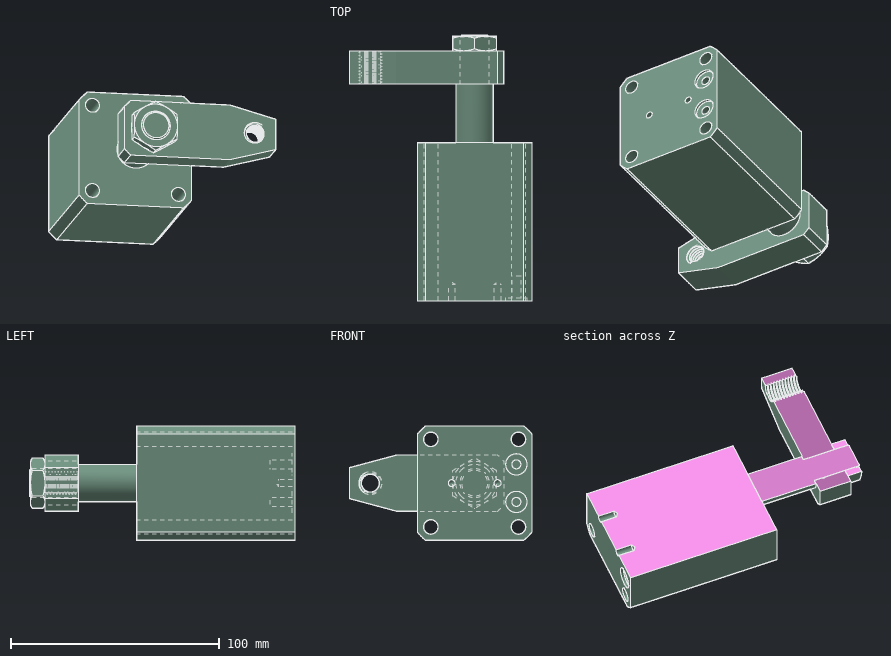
import cadquery as cq
import math


BLOCK_SIDE = 55.0
BLOCK_LENGTH = 76.0
BLOCK_CORNER_RADIUS = 36.2
MOUNT_HOLE_DIAMETER = 6.8
MOUNT_HOLE_OFFSET = 21.0
PORT_X = 20.0
PORT_Z = 9.0
PORT_RECESS_DIAMETER = 10.2
PORT_RECESS_DEPTH = 1.5
PORT_BORE_DIAMETER = 4.3
PORT_BORE_DEPTH = 12.0
PIN_HOLE_X = 11.0
PIN_HOLE_DIAMETER = 3.3
PIN_HOLE_DEPTH = 8.0
DRILL_POINT_ANGLE = 118.0

ROD_DIAMETER = 18.0
ROD_EXPOSED_LENGTH = 28.0
STUD_DIAMETER = 14.0
STUD_TIP_DIAMETER = 12.4
STUD_PROTRUSION = 0.5

ARM_WIDTH = 27.0
ARM_THICKNESS = 16.0
ARM_REACH = 60.0
ARM_HEEL = 14.0
ARM_HEEL_CHAMFER = 3.0
ARM_TAPER_LENGTH = 22.5
ARM_TAPER_ANGLE = 15.0
THREAD_TO_TIP = 10.0

THREAD_MINOR_RADIUS = 4.25
THREAD_MAJOR_RADIUS = 5.5
THREAD_PITCH = 1.5
THREAD_GROOVE_WIDTH = 0.9 * THREAD_PITCH
THREAD_START_ANGLE = 234.0
THREAD_OVERLAP = 0.1

NUT_ACROSS_FLATS = 21.0
NUT_HEIGHT = 7.0
NUT_CHAMFER_ANGLE = 30.0
NUT_SIDES = 6

ARM_START = BLOCK_LENGTH + ROD_EXPOSED_LENGTH
NUT_START = ARM_START + ARM_THICKNESS
NUT_END = NUT_START + NUT_HEIGHT
STUD_END = NUT_END + STUD_PROTRUSION


def section_plane(y):
    """Work plane across the rod axis; local x is X, local y is Z, extrusions run toward +Y."""
    return cq.Workplane(cq.Plane(origin=(0, y, 0), xDir=(1, 0, 0), normal=(0, -1, 0)))


def rod_axis_cylinder(diameter, y_start, length, x=0.0, z=0.0):
    return section_plane(y_start).center(x, z).circle(diameter / 2).extrude(-length)


def revolve_about_rod_axis(points):
    """Revolve a closed (radius, y) outline about the Y axis."""
    return cq.Workplane("XY").polyline(points).close().revolve(360, (0, 0, 0), (0, 1, 0))


def pin_hole(x):
    """Blind drilled hole with a conical bottom."""
    radius = PIN_HOLE_DIAMETER / 2
    point_length = radius / math.tan(math.radians(DRILL_POINT_ANGLE / 2))
    outline = [
        (0, 0),
        (radius, 0),
        (radius, PIN_HOLE_DEPTH),
        (0, PIN_HOLE_DEPTH + point_length),
    ]
    return revolve_about_rod_axis(outline).translate((x, 0, 0))


def make_block():
    block = section_plane(0).rect(BLOCK_SIDE, BLOCK_SIDE).extrude(-BLOCK_LENGTH)
    block = block.intersect(rod_axis_cylinder(2 * BLOCK_CORNER_RADIUS, 0, BLOCK_LENGTH))
    for x in (-MOUNT_HOLE_OFFSET, MOUNT_HOLE_OFFSET):
        for z in (-MOUNT_HOLE_OFFSET, MOUNT_HOLE_OFFSET):
            block = block.cut(rod_axis_cylinder(MOUNT_HOLE_DIAMETER, 0, BLOCK_LENGTH, x, z))
    for z in (-PORT_Z, PORT_Z):
        block = block.cut(rod_axis_cylinder(PORT_RECESS_DIAMETER, 0, PORT_RECESS_DEPTH, PORT_X, z))
        block = block.cut(rod_axis_cylinder(PORT_BORE_DIAMETER, 0, PORT_BORE_DEPTH, PORT_X, z))
    for x in (-PIN_HOLE_X, PIN_HOLE_X):
        block = block.cut(pin_hole(x))
    return block


def make_rod():
    """Stepped rod standing on the block's +Y face, with a 45 degree chamfer on the stud tip."""
    rod_radius = ROD_DIAMETER / 2
    stud_radius = STUD_DIAMETER / 2
    tip_radius = STUD_TIP_DIAMETER / 2
    outline = [
        (BLOCK_LENGTH, 0),
        (BLOCK_LENGTH, rod_radius),
        (ARM_START, rod_radius),
        (ARM_START, stud_radius),
        (STUD_END - (stud_radius - tip_radius), stud_radius),
        (STUD_END, tip_radius),
        (STUD_END, 0),
    ]
    return cq.Workplane("YZ").polyline(outline).close().revolve(360, (0, 0, 0), (1, 0, 0))


def thread_groove():
    """Right-hand V groove, started on the arm's face and run out through its far side."""
    length = ARM_THICKNESS + THREAD_PITCH
    inner_radius = THREAD_MINOR_RADIUS - THREAD_OVERLAP
    half_width = THREAD_GROOVE_WIDTH / 2
    helix = cq.Wire.makeHelix(THREAD_PITCH, length, THREAD_MINOR_RADIUS)
    profile = cq.Workplane("XZ").polyline([
        (inner_radius, -half_width),
        (THREAD_MAJOR_RADIUS, 0),
        (inner_radius, half_width),
    ]).close()
    groove = profile.sweep(cq.Workplane(obj=helix), isFrenet=True)
    groove = groove.rotate((0, 0, 0), (1, 0, 0), -90)
    return groove.rotate((0, 0, 0), (0, 1, 0), -THREAD_START_ANGLE)


def make_arm():
    half_width = ARM_WIDTH / 2
    tip_half_width = half_width - ARM_TAPER_LENGTH * math.tan(math.radians(ARM_TAPER_ANGLE))
    taper_end = ARM_TAPER_LENGTH - ARM_REACH
    upper_edge = [
        (-ARM_REACH, tip_half_width),
        (taper_end, half_width),
        (ARM_HEEL - ARM_HEEL_CHAMFER, half_width),
        (ARM_HEEL, half_width - ARM_HEEL_CHAMFER),
    ]
    lower_edge = [(x, -z) for x, z in reversed(upper_edge)]
    arm = section_plane(ARM_START).polyline(upper_edge + lower_edge).close().extrude(-ARM_THICKNESS)
    arm = arm.cut(rod_axis_cylinder(STUD_DIAMETER, ARM_START, ARM_THICKNESS))
    thread_x = THREAD_TO_TIP - ARM_REACH
    arm = arm.cut(thread_groove().translate((thread_x, ARM_START, 0)))
    return arm.cut(rod_axis_cylinder(2 * THREAD_MINOR_RADIUS, ARM_START, ARM_THICKNESS, thread_x))


def make_nut():
    flat_radius = NUT_ACROSS_FLATS / 2
    corner_radius = flat_radius / math.cos(math.pi / NUT_SIDES)
    chamfer_height = (corner_radius - flat_radius) * math.tan(math.radians(NUT_CHAMFER_ANGLE))
    hexagon = section_plane(NUT_START).polygon(NUT_SIDES, 2 * corner_radius).extrude(-NUT_HEIGHT)
    hexagon = hexagon.rotate((0, 0, 0), (0, 1, 0), 90)
    chamfered_envelope = revolve_about_rod_axis([
        (0, NUT_START),
        (flat_radius, NUT_START),
        (corner_radius, NUT_START + chamfer_height),
        (corner_radius, NUT_END - chamfer_height),
        (flat_radius, NUT_END),
        (0, NUT_END),
    ])
    nut = hexagon.intersect(chamfered_envelope)
    return nut.cut(rod_axis_cylinder(STUD_DIAMETER, NUT_START, NUT_HEIGHT))


block = make_block()
rod = make_rod()
arm = make_arm()
nut = make_nut()

result = cq.Compound.makeCompound([block.val(), rod.val(), arm.val(), nut.val()])